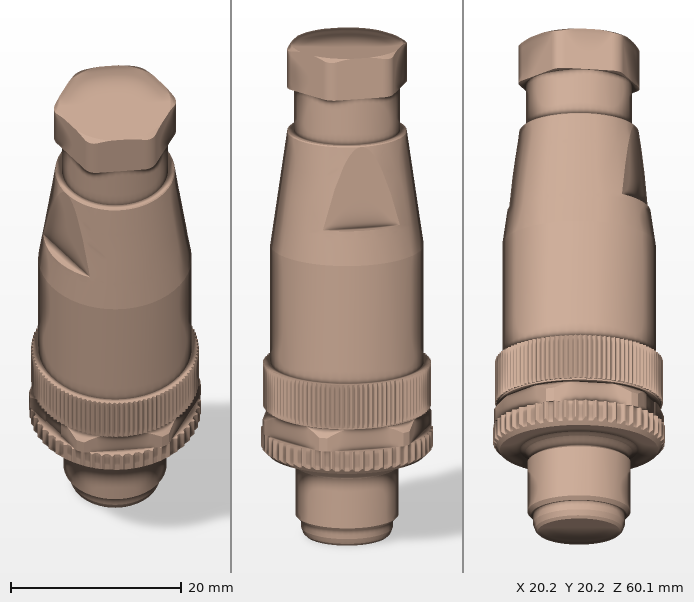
import cadquery as cq
import math

TOTAL_LENGTH = 60.1

NOSE_RADIUS = 5.4
NOSE_TAPER_RADIUS = 5.15
NOSE_TIP_RADIUS = 4.85
NOSE_TIP_CHAMFER = 0.3
NOSE_RIM_Z = 0.95
SLEEVE_RADIUS = 6.1
SLEEVE_CHAMFER = 0.4
SLEEVE_BOTTOM_Z = 2.05
SLEEVE_TOP_Z = 8.95

COLLAR_ROOT_RADIUS = 5.45
COLLAR_FLARE_RADIUS = 6.3
COLLAR_RADIUS = 6.9
COLLAR_FLARE_Z = 9.8

NUT_BOTTOM_Z = 10.1
NUT_KNURL_TOP_Z = 13.0
NUT_TOP_Z = 15.5
NUT_RADIUS = 10.1
NUT_ACROSS_FLATS = 17.95
NUT_BOTTOM_CHAMFER = 0.8
NUT_TOP_RADIUS = 9.3
NUT_TOP_CHAMFER = 0.9
NUT_TEETH = 52
NUT_TOOTH_DEPTH = 0.35
NUT_TIP_LAND = 0.1
NUT_ROOT_LAND = 0.5
NUT_MARK_WIDTH = 3.1
NUT_MARK_DEPTH = 0.2

GRIP_BOTTOM_Z = 15.6
GRIP_TEETH_BOTTOM_Z = 15.8
GRIP_TOP_Z = 21.1
GRIP_RADIUS = 9.85
GRIP_TEETH = 2 * NUT_TEETH
GRIP_TOOTH_DEPTH = 0.3
NECK_RADIUS = 7.65

BODY_RADIUS = 9.0
TAPER_BOTTOM_Z = 35.45
TAPER_TOP_RADIUS = 7.05
TAPER_TOP_Z = 49.5
TAPER_TOP_CHAMFER = 0.1
FLAT_DISTANCE = 7.05
FLAT_BOTTOM_Z = 39.55

STEM_RADIUS = 6.25
CAP_BOTTOM_Z = 55.1
CAP_ACROSS_FLATS = 12.9
CAP_CORNER_RADIUS = 1.7
CAP_TOP_RADIUS = 6.55
CAP_CHAMFER_ANGLE = 30.0


def turned(profile):
    """Revolve (radius, z) points, closed along the Z axis."""
    points = [(0, profile[0][1])] + profile + [(0, profile[-1][1])]
    return cq.Workplane("XZ").polyline(points).close().revolve(360, (0, 0), (0, 1))


def cylinder(radius, bottom, top):
    return cq.Workplane("XY").workplane(offset=bottom).circle(radius).extrude(top - bottom)


def hexagon(across_flats, bottom, top):
    """Hexagonal prism with corners on the X axis and flats facing +Y and -Y."""
    across_corners = across_flats / math.cos(math.pi / 6)
    return cq.Workplane("XY").workplane(offset=bottom).polygon(6, across_corners).extrude(top - bottom)


def knurl(teeth, tip_radius, root_radius, tip_land, root_land, first_tip, bottom, top):
    """Ring of straight teeth with sloped flanks; a zero land leaves a sharp edge.

    first_tip is the angle of one tooth tip, in tooth pitches.
    """
    pitch = 2 * math.pi / teeth
    outline = []
    for index in range(teeth):
        for radius, land, offset in ((tip_radius, tip_land, 0), (root_radius, root_land, 0.5)):
            middle = (index + first_tip + offset) * pitch
            half_land = land / 2 / radius
            for angle in sorted({middle - half_land, middle + half_land}):
                outline.append((radius * math.cos(angle), radius * math.sin(angle)))
    return cq.Workplane("XY").workplane(offset=bottom).polyline(outline).close().extrude(top - bottom)


def make_plug():
    chamfered_radius = SLEEVE_RADIUS - SLEEVE_CHAMFER
    return turned([
        (NOSE_TIP_RADIUS, 0),
        (NOSE_TAPER_RADIUS, NOSE_TIP_CHAMFER),
        (NOSE_RADIUS, NOSE_RIM_Z),
        (NOSE_RADIUS, SLEEVE_BOTTOM_Z),
        (chamfered_radius, SLEEVE_BOTTOM_Z),
        (SLEEVE_RADIUS, SLEEVE_BOTTOM_Z + SLEEVE_CHAMFER),
        (SLEEVE_RADIUS, SLEEVE_TOP_Z - SLEEVE_CHAMFER),
        (COLLAR_ROOT_RADIUS, SLEEVE_TOP_Z),
        (COLLAR_FLARE_RADIUS, COLLAR_FLARE_Z),
        (COLLAR_RADIUS, NUT_BOTTOM_Z),
    ])


def make_nut():
    envelope = turned([
        (NUT_RADIUS - NUT_BOTTOM_CHAMFER, NUT_BOTTOM_Z),
        (NUT_RADIUS, NUT_BOTTOM_Z + NUT_BOTTOM_CHAMFER),
        (NUT_RADIUS, NUT_TOP_Z - NUT_TOP_CHAMFER),
        (NUT_TOP_RADIUS, NUT_TOP_Z),
    ])
    mark = cq.Workplane("XY").box(
        NUT_MARK_WIDTH, 2 * NUT_MARK_DEPTH, NUT_TOP_Z - NUT_KNURL_TOP_Z, centered=(True, True, False)
    ).translate((0, -NUT_ACROSS_FLATS / 2, NUT_KNURL_TOP_Z))
    prism = hexagon(NUT_ACROSS_FLATS, NUT_KNURL_TOP_Z, NUT_TOP_Z).cut(mark)
    ring = knurl(
        NUT_TEETH, NUT_RADIUS, NUT_RADIUS - NUT_TOOTH_DEPTH, NUT_TIP_LAND, NUT_ROOT_LAND,
        0.5, NUT_BOTTOM_Z, NUT_KNURL_TOP_Z,
    )
    return prism.union(ring).intersect(envelope)


def make_grip():
    root_radius = GRIP_RADIUS - GRIP_TOOTH_DEPTH
    core = cylinder(root_radius, GRIP_BOTTOM_Z, GRIP_TOP_Z)
    teeth = knurl(GRIP_TEETH, GRIP_RADIUS, root_radius, 0, 0, 0, GRIP_TEETH_BOTTOM_Z, GRIP_TOP_Z)
    return core.union(teeth).union(cylinder(NECK_RADIUS, NUT_TOP_Z, GRIP_BOTTOM_Z))


def make_body():
    body = turned([
        (BODY_RADIUS, GRIP_TOP_Z),
        (BODY_RADIUS, TAPER_BOTTOM_Z),
        (TAPER_TOP_RADIUS, TAPER_TOP_Z - TAPER_TOP_CHAMFER),
        (TAPER_TOP_RADIUS - TAPER_TOP_CHAMFER, TAPER_TOP_Z),
    ])
    for side in (1, -1):
        waste = cq.Workplane("XY").box(
            2 * BODY_RADIUS, BODY_RADIUS, TAPER_TOP_Z - FLAT_BOTTOM_Z, centered=(True, True, False)
        ).translate((0, side * (FLAT_DISTANCE + BODY_RADIUS / 2), FLAT_BOTTOM_Z))
        body = body.cut(waste)
    return body


def make_gland():
    outer_radius = CAP_ACROSS_FLATS / 2 / math.cos(math.pi / 6)
    chamfer_drop = (outer_radius - CAP_TOP_RADIUS) * math.tan(math.radians(CAP_CHAMFER_ANGLE))
    envelope = turned([
        (outer_radius, CAP_BOTTOM_Z),
        (outer_radius, TOTAL_LENGTH - chamfer_drop),
        (CAP_TOP_RADIUS, TOTAL_LENGTH),
    ])
    prism = hexagon(CAP_ACROSS_FLATS, CAP_BOTTOM_Z, TOTAL_LENGTH)
    cap = prism.edges("|Z").fillet(CAP_CORNER_RADIUS).intersect(envelope)
    return cap.union(cylinder(STEM_RADIUS, TAPER_TOP_Z, CAP_BOTTOM_Z))


result = make_plug().union(make_nut()).union(make_grip()).union(make_body()).union(make_gland())